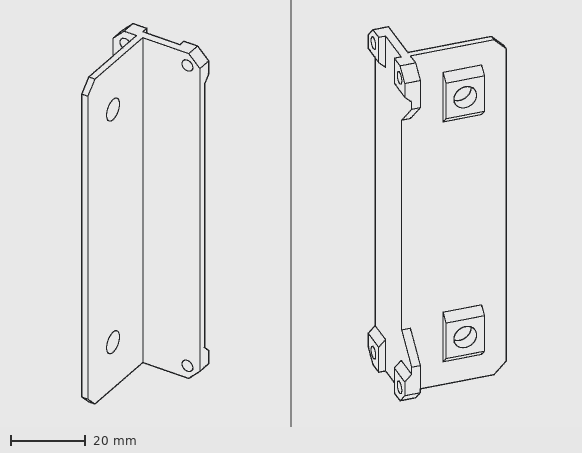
import cadquery as cq

length = 104.0
width = 27.6
depth = 31.9
corner = 3.5

plate_thickness = 2.5
pad_rise = 2.0
web_left = 7.5
web_thickness = 2.0

pad_width = 7.9
pad_flat_height = 7.8
ear_edge_height = 12.0
screw_diameter = 3.4
screw_inset = 4.0

boss_rise = 2.2
boss_width = 11.0
boss_base_height = boss_width + 2 * boss_rise
boss_setback = 19.3
boss_inset = 14.8
boss_hole_diameter = 6.5

half = length / 2
plate_back = -pad_rise
plate_front = plate_back - plate_thickness
ear_root_height = ear_edge_height + web_left
overlap = web_thickness / 2


def plate_outline():
    """Plate with cut corners; the left side is notched to leave an ear at each end."""
    ear_edge = half - ear_edge_height
    ear_root = half - ear_root_height
    return [
        (corner, half),
        (width - corner, half),
        (width, half - corner),
        (width, -half + corner),
        (width - corner, -half),
        (corner, -half),
        (0, -half + corner),
        (0, -ear_edge),
        (web_left, -ear_root),
        (web_left, ear_root),
        (0, ear_edge),
        (0, half - corner),
    ]


def outline_prism(y_front, y_back):
    """Plate outline extruded between two Y positions."""
    return (
        cq.Workplane("XZ", origin=(0, y_back, 0))
        .polyline(plate_outline())
        .close()
        .extrude(y_back - y_front)
    )


def pad_strips():
    """Raised pads at both ends, each sloping down to the plate at 45 degrees."""
    profile = [
        (plate_front, half),
        (0, half),
        (0, half - pad_flat_height),
        (plate_back, half - pad_flat_height - pad_rise),
        (plate_front, half - pad_flat_height - pad_rise),
    ]
    pads = cq.Workplane("YZ")
    for left in (0, width - pad_width):
        pad = cq.Workplane("YZ", origin=(left, 0, 0)).polyline(profile).close().extrude(pad_width)
        pads = pads.add(pad).add(pad.mirror("XY"))
    return pads.combine().intersect(outline_prism(plate_front, 0))


def web():
    """Upright web with its two free corners cut."""
    points = [
        (plate_back, half),
        (-depth + corner, half),
        (-depth, half - corner),
        (-depth, -half + corner),
        (-depth + corner, -half),
        (plate_back, -half),
    ]
    return cq.Workplane("YZ", origin=(web_left, 0, 0)).polyline(points).close().extrude(web_thickness)


def boss(z):
    """Boss on the left web face with sloped upper and lower sides."""
    outer = web_left - boss_rise
    root = web_left + overlap
    points = [
        (root, z + boss_base_height / 2),
        (web_left, z + boss_base_height / 2),
        (outer, z + boss_width / 2),
        (outer, z - boss_width / 2),
        (web_left, z - boss_base_height / 2),
        (root, z - boss_base_height / 2),
    ]
    y_back = -boss_setback + boss_width / 2
    return cq.Workplane("XZ", origin=(0, y_back, 0)).polyline(points).close().extrude(boss_width)


boss_heights = (half - boss_inset, -half + boss_inset)

result = outline_prism(plate_front, plate_back).union(pad_strips()).union(web())
for height in boss_heights:
    result = result.union(boss(height))

screw_holes = (
    cq.Workplane("XZ")
    .pushPoints([
        (x, z)
        for x in (screw_inset, width - screw_inset)
        for z in (half - screw_inset, -half + screw_inset)
    ])
    .circle(screw_diameter / 2)
    .extrude(-plate_front)
)

boss_holes = (
    cq.Workplane("YZ")
    .pushPoints([(-boss_setback, z) for z in boss_heights])
    .circle(boss_hole_diameter / 2)
    .extrude(web_left + web_thickness)
)

result = result.cut(screw_holes).cut(boss_holes)